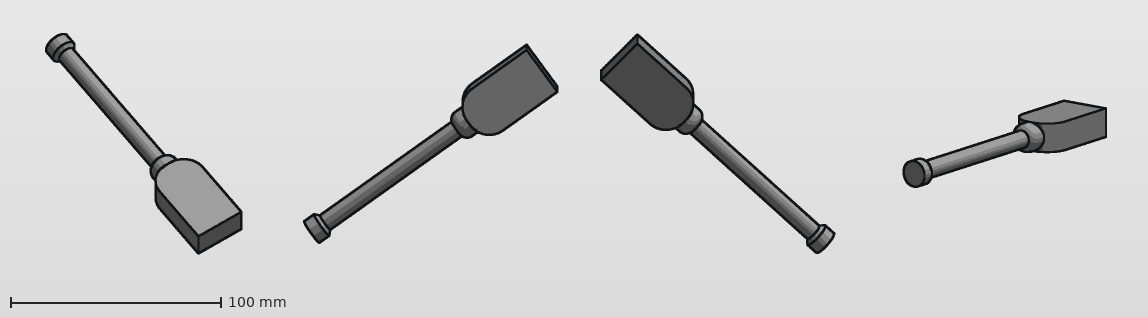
import cadquery as cq
import math

total_length = 135.0
body_width = 25.0
body_thickness = 14.0

body_start = 92.0
body_corner_radius = 11.1

cable_diameter = 8.5
head_diameter = 12.5
head_straight_length = 5.8

collar_diameter = body_thickness
collar_round_radius = 4.0
collar_round_end = 88.8


def make_body():
    """Flat block with its two vertical edges on the cable side rounded."""
    body_length = total_length - body_start
    block = cq.Workplane("XY").box(body_length, body_width, body_thickness)
    block = block.edges("|Z and <X").fillet(body_corner_radius)
    return block.translate((body_start + body_length / 2, 0, 0))


def make_cable():
    """Head, 45 degree cone, cable and rounded collar, turned about the X axis."""
    head_radius = head_diameter / 2
    cable_radius = cable_diameter / 2
    collar_radius = collar_diameter / 2
    cone_end = head_straight_length + head_radius - cable_radius

    arc_center_radius = collar_radius - collar_round_radius
    start_angle = math.asin((cable_radius - arc_center_radius) / collar_round_radius)
    middle_angle = (start_angle + math.pi / 2) / 2

    def round_point(angle):
        return (
            collar_round_end - collar_round_radius * math.cos(angle),
            arc_center_radius + collar_round_radius * math.sin(angle),
        )

    collar_end = body_start + body_corner_radius
    profile = (
        cq.Workplane("XY")
        .moveTo(0, 0)
        .lineTo(0, head_radius)
        .lineTo(head_straight_length, head_radius)
        .lineTo(cone_end, cable_radius)
        .lineTo(*round_point(start_angle))
        .threePointArc(round_point(middle_angle), (collar_round_end, collar_radius))
        .lineTo(collar_end, collar_radius)
        .lineTo(collar_end, 0)
        .close()
    )
    return profile.revolve(360, (0, 0, 0), (1, 0, 0))


result = make_body().union(make_cable())